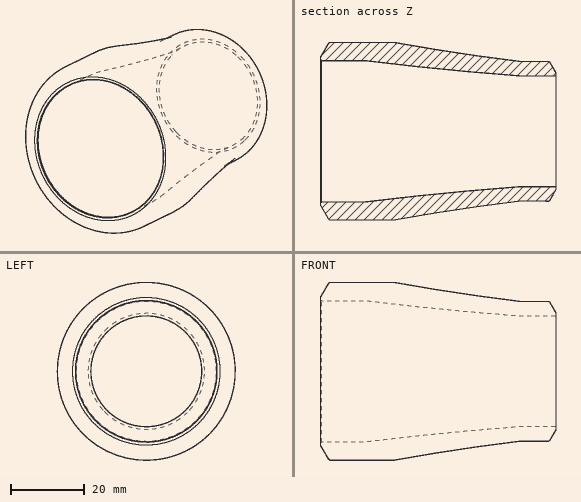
import cadquery as cq
import math

length = 64.0
large_outer_radius = 48.3 / 2
small_outer_radius = 38.0 / 2
large_bore_radius = 38.3 / 2
large_mouth_radius = 38.5 / 2
mouth_depth = 0.4
small_bore_radius = 30.0 / 2
outer_taper_start = 20.0
bore_taper_start = 12.3
taper_end = 54.1
taper_sag = 0.25

bevel_angle = math.radians(30)
land_width = 0.8
bevel_round_radius = 0.8


def taper_middle(taper_start, large_radius, small_radius):
    """Middle point of the slightly hollow curve between the two straight ends."""
    return (taper_start + taper_end) / 2, (large_radius + small_radius) / 2 - taper_sag


def bevel_length(outer_radius, bore_radius):
    """Axial length of a bevel that leaves a flat land around the bore."""
    return (outer_radius - bore_radius - land_width) * math.tan(bevel_angle)


def revolve_about_x(profile):
    return profile.close().revolve(360, (0, 0, 0), (1, 0, 0))


large_bevel = bevel_length(large_outer_radius, large_mouth_radius)
small_bevel = bevel_length(small_outer_radius, small_bore_radius)
outside = revolve_about_x(
    cq.Workplane("XY")
    .lineTo(0, large_mouth_radius + land_width)
    .lineTo(large_bevel, large_outer_radius)
    .lineTo(outer_taper_start, large_outer_radius)
    .threePointArc(
        taper_middle(outer_taper_start, large_outer_radius, small_outer_radius),
        (taper_end, small_outer_radius),
    )
    .lineTo(length - small_bevel, small_outer_radius)
    .lineTo(length, small_bore_radius + land_width)
    .lineTo(length, 0)
)

for corner_x in (large_bevel, length - small_bevel):
    corner = cq.selectors.BoxSelector(
        (corner_x - 0.05, -length, -length),
        (corner_x + 0.05, length, length),
    )
    outside = outside.edges(corner).fillet(bevel_round_radius)

bore = revolve_about_x(
    cq.Workplane("XY")
    .lineTo(0, large_mouth_radius)
    .lineTo(mouth_depth, large_mouth_radius)
    .lineTo(mouth_depth, large_bore_radius)
    .lineTo(bore_taper_start, large_bore_radius)
    .threePointArc(
        taper_middle(bore_taper_start, large_bore_radius, small_bore_radius),
        (taper_end, small_bore_radius),
    )
    .lineTo(length, small_bore_radius)
    .lineTo(length, 0)
)

result = outside.cut(bore)